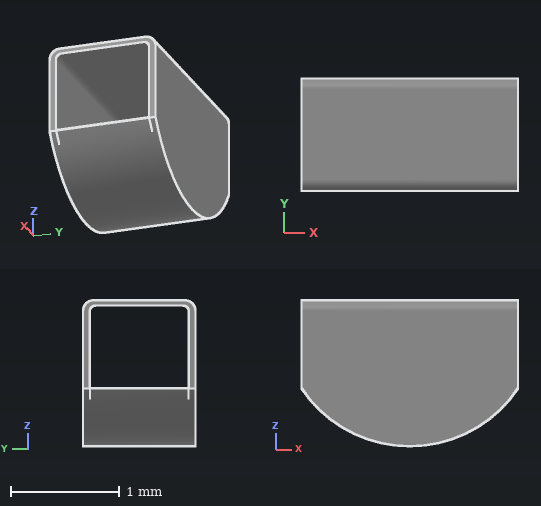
import cadquery as cq

length = 2.0
width = 1.04
height = 1.35
side_wall = 0.065
top_wall = 0.052
floor_middle_thickness = 0.045
floor_lip = 0.005
outer_radius = 0.1
inner_radius = 0.052
belly_depth = 0.535


def belly_cylinder(bottom_z, end_z):
    """Cylinder across the part, lowest at bottom_z and reaching end_z at the end faces."""
    half_length = length / 2
    depth = end_z - bottom_z
    radius = (half_length**2 + depth**2) / (2 * depth)
    return (
        cq.Workplane("XZ")
        .center(0, bottom_z + radius)
        .circle(radius)
        .extrude(width / 2, both=True)
    )


def rounded_profile(profile_width, top_z, corner_radius):
    """Full-length block from z = 0 to top_z with rounded upper long edges."""
    return (
        cq.Workplane("XY")
        .box(length, profile_width, top_z, centered=(True, True, False))
        .edges("|X and >Z")
        .fillet(corner_radius)
    )


envelope = rounded_profile(width, height, outer_radius).intersect(belly_cylinder(0, belly_depth))

tunnel = rounded_profile(width - 2 * side_wall, height - top_wall, inner_radius).intersect(
    belly_cylinder(floor_middle_thickness, belly_depth + floor_lip)
)

result = envelope.cut(tunnel)